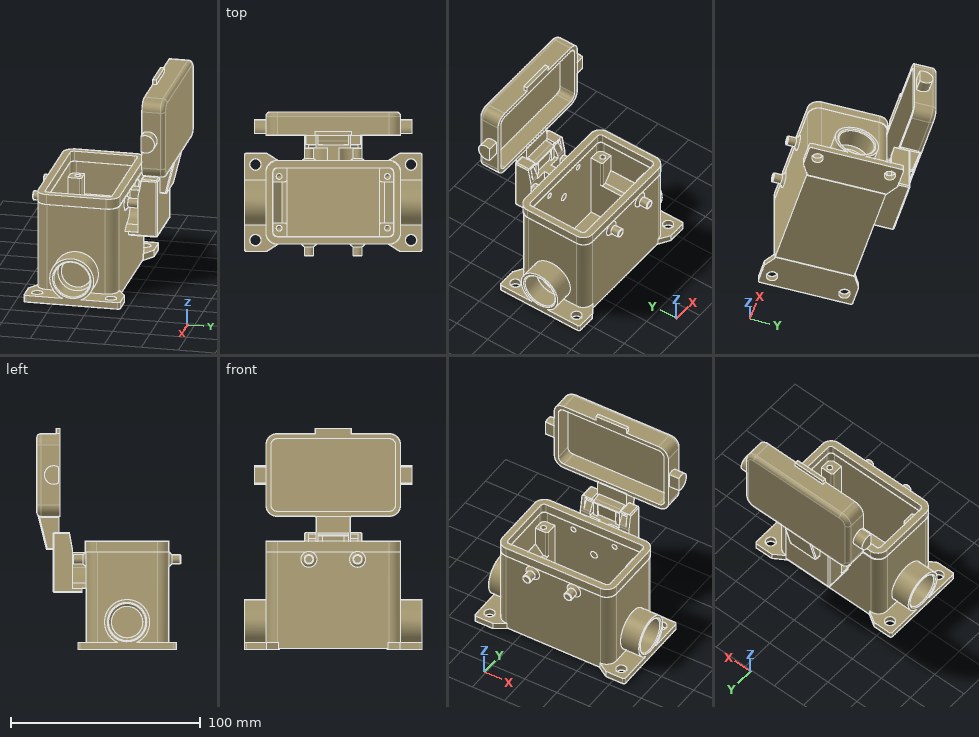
import cadquery as cq


COLLAR_LENGTH = 71.1
COLLAR_WIDTH = 44.2
COLLAR_BOTTOM = 51.5
HOUSING_TOP = 57.1
BODY_BOTTOM = 0.5
BODY_INSET = 0.06
REAR_INSET = 0.5
OUTER_RADIUS = 6.0
CAVITY_LENGTH = 63.6
CAVITY_WIDTH = 36.1
RIM_RADIUS = 1.9
CAVITY_RELIEF = 0.1
CAVITY_RADIUS = 2.9
CAVITY_FLOOR = 3.7

POST_LENGTH = 7.5
POST_WIDTH = 7.2
POST_TOP = 44.9
POST_EDGE_RADIUS = 1.2
SCREW_X = 28.5
SCREW_Y = 13.6
SCREW_DIAMETER = 3.0
SCREW_DEPTH = 14.0
LEDGE_Z = 28.0
LEDGE_DEPTH = 2.7
SLOPE_TOP = 33.5

FLANGE_LENGTH = 93.5
FLANGE_WIDTH = 52.0
FLANGE_THICKNESS = 3.7
FLANGE_SHOULDER_X = 35.2
FLANGE_WAIST_X = 28.4
FLANGE_WAIST_Y = 21.7
FLANGE_CORNER_RADIUS = 1.2
MOUNT_X = 41.0
MOUNT_Y = 19.9
MOUNT_DIAMETER = 5.8

ENTRY_Z = 14.5
ENTRY_RADIUS = 11.9
BORE_RADIUS = 9.8
BORE_CHAMFER = 0.6
BORE_DEPTH = 10.5
BORE_END_RADIUS = 8.3

PEG_X = 12.8
PEG_Z = 47.5
PEG_RADIUS = 2.5
PEG_TIP_Y = 28.3
PEG_TIP_CHAMFER = 0.3
COLLET_RADIUS = 4.2
COLLET_HEIGHT = 1.5

LID_FRONT = 35.3
LID_BACK = 47.6
LID_BOTTOM = 70.1
LID_TOP = 113.8
LID_BACK_RADIUS = 2.3
LID_WALL = 2.7
LID_PANEL = 3.1
LID_INNER_RADIUS = 3.4
TAB_WIDTH = 19.1
TAB_THICKNESS = 2.1
TAB_TOP = 116.5
LID_PIN_SPAN = 83.2
LID_PIN_RADIUS = 4.9
LID_PIN_Y = 38.7
LID_PIN_FLAT_Y = 36.2

ARM_WIDTH = 18.2
ARM_FRONT = 35.9
ARM_TOP_BACK = 47.1
ARM_HEEL_Y = 42.5
ARM_BOTTOM = 52.7
ARM_CHAMFER = 0.6
ARM_OVERLAP = 0.9
ARM_ROOT_HEIGHT = 0.7

BRACKET_WIDTH = 30.3
BRACKET_BACK = 39.1
BRACKET_TOP_FRONT = 30.4
BRACKET_FRONT = 28.7
BRACKET_BOTTOM = 29.9
BRACKET_TOP = 61.7
BRACKET_KNEE_Z = 52.2
BRACKET_CHAMFER = 0.7
FOOT_TOP = 32.2
FOOT_FRONT = 23.6
SIDE_WALL = 2.1
BAY_TOP = 60.8
BAY_BACK = 31.5
BAY_SILL_FRONT_Z = 53.1
BAY_SILL_BACK_Z = 58.5
LEDGE_HEIGHT = 51.1
NOSE_WIDTH = 16.2
NOSE_TOP_BACK_Z = 61.5
NOSE_TOP_FRONT_Y = 32.3
NOSE_TOP_FRONT_Z = 60.8
LIP_FRONT = 30.3
LIP_MIDDLE = 60.3
LIP_BOTTOM = 59.8
HINGE_FACE_Y = 30.5
WINDOW_TOP_Y = 30.8
WINDOW_BOTTOM_Y = 31.7
WINDOW_WIDTH = 11.3

RIB_WIDTH = 5.8
FLARE_START_Z = 43.2
FLARE_RADIUS = 8.3
RIVET_Z = 35.6
RIVET_RADIUS = 2.1
SHANK_RADIUS = 1.5

BODY_REAR = COLLAR_WIDTH / 2 - REAR_INSET
BODY_FRONT = -COLLAR_WIDTH / 2 + BODY_INSET
CAVITY_REAR = CAVITY_WIDTH / 2 + CAVITY_RELIEF
LID_MID_Z = (LID_BOTTOM + LID_TOP) / 2
SIDES = (-1, 1)


def box(x0, x1, y0, y1, z0, z1):
    """Axis-aligned block between two opposite corners."""
    return cq.Workplane("XY").box(x1 - x0, y1 - y0, z1 - z0, centered=False).translate((x0, y0, z0))


def rod_y(x, z, radius, y0, y1):
    """Cylinder along Y."""
    return cq.Workplane("XZ", origin=(x, y0, z)).circle(radius).extrude(y0 - y1)


def side_profile(points, width):
    """Outline in the YZ plane, extruded evenly to both sides of X = 0."""
    return cq.Workplane("YZ").polyline(points).close().extrude(width / 2, both=True)


def housing_shell():
    """Solid outside of the housing: main body and a slightly proud collar."""
    body = box(
        -COLLAR_LENGTH / 2 + BODY_INSET, COLLAR_LENGTH / 2 - BODY_INSET,
        BODY_FRONT, BODY_REAR, BODY_BOTTOM, COLLAR_BOTTOM,
    ).edges("|Z").fillet(OUTER_RADIUS)
    collar = box(
        -COLLAR_LENGTH / 2, COLLAR_LENGTH / 2,
        -COLLAR_WIDTH / 2, COLLAR_WIDTH / 2, COLLAR_BOTTOM, HOUSING_TOP,
    ).edges("|Z").fillet(OUTER_RADIUS)
    return body.union(collar)


def housing_cavity():
    """Inside of the housing: rim opening and the chamber below it."""
    rim = box(
        -CAVITY_LENGTH / 2, CAVITY_LENGTH / 2,
        -CAVITY_WIDTH / 2, CAVITY_WIDTH / 2, COLLAR_BOTTOM, HOUSING_TOP,
    ).edges("|Z").fillet(RIM_RADIUS)
    half_length = CAVITY_LENGTH / 2 + CAVITY_RELIEF
    chamber = box(
        -half_length, half_length, -CAVITY_REAR, CAVITY_REAR, CAVITY_FLOOR, COLLAR_BOTTOM,
    ).edges("|Z").fillet(CAVITY_RADIUS)
    return rim.union(chamber)


def end_block(side):
    """Block across one end of the cavity: a flat ledge, then a slope up to the end wall."""
    wall_x = COLLAR_LENGTH / 2 - OUTER_RADIUS / 2
    cavity_x = CAVITY_LENGTH / 2
    inner_x = cavity_x - POST_LENGTH
    outline = [
        (side * inner_x, BODY_BOTTOM),
        (side * inner_x, LEDGE_Z),
        (side * (inner_x + LEDGE_DEPTH), LEDGE_Z),
        (side * cavity_x, SLOPE_TOP),
        (side * wall_x, SLOPE_TOP),
        (side * wall_x, BODY_BOTTOM),
    ]
    return cq.Workplane("XZ").polyline(outline).close().extrude(CAVITY_REAR, both=True)


def screw_post(side_x, side_y):
    """Square post in a cavity corner, rooted in both walls, with its free edge rounded."""
    length = POST_LENGTH + CAVITY_RELIEF
    width = POST_WIDTH + CAVITY_RELIEF
    post = box(0, length, 0, width, BODY_BOTTOM, POST_TOP)
    post = post.edges("|Z").edges("<X and <Y").fillet(POST_EDGE_RADIUS)
    post = post.translate((CAVITY_LENGTH / 2 - POST_LENGTH, CAVITY_WIDTH / 2 - POST_WIDTH, 0))
    if side_x < 0:
        post = post.mirror("YZ")
    if side_y < 0:
        post = post.mirror("XZ")
    return post


def screw_hole(x, y):
    """Blind hole with a conical drill point."""
    radius = SCREW_DIAMETER / 2
    depth_z = POST_TOP - SCREW_DEPTH
    outline = [(0, POST_TOP), (radius, POST_TOP), (radius, depth_z), (0, depth_z - radius)]
    hole = cq.Workplane("XZ").polyline(outline).close().revolve(360, (0, 0, 0), (0, 1, 0))
    return hole.translate((x, y, 0))


def flange(side):
    """Foot plate at one end, tapering towards the long walls, with two screw holes."""
    half_width = FLANGE_WIDTH / 2
    outline = [
        (side * FLANGE_WAIST_X, -FLANGE_WAIST_Y),
        (side * FLANGE_SHOULDER_X, -half_width),
        (side * FLANGE_LENGTH / 2, -half_width),
        (side * FLANGE_LENGTH / 2, half_width),
        (side * FLANGE_SHOULDER_X, half_width),
        (side * FLANGE_WAIST_X, FLANGE_WAIST_Y),
    ]
    plate = cq.Workplane("XY").polyline(outline).close().extrude(FLANGE_THICKNESS)
    plate = plate.edges("|Z").edges(">X" if side > 0 else "<X").fillet(FLANGE_CORNER_RADIUS)
    holes = (
        cq.Workplane("XY")
        .pushPoints([(side * MOUNT_X, sy * MOUNT_Y) for sy in SIDES])
        .circle(MOUNT_DIAMETER / 2).extrude(FLANGE_THICKNESS)
    )
    return plate.cut(holes)


def turned_along_x(profile, side):
    """Turn an (x, radius) outline about the cable entry axis."""
    points = [(side * x, -radius) for x, radius in profile]
    outline = cq.Workplane("XY", origin=(0, 0, ENTRY_Z)).polyline(points).close()
    return outline.revolve(360, (0, 0, 0), (1, 0, 0))


def cable_entry(side):
    """Solid sleeve for the cable on one end wall."""
    inner_x = COLLAR_LENGTH / 2 - OUTER_RADIUS / 2
    outer_x = FLANGE_LENGTH / 2
    return turned_along_x(
        [(inner_x, 0), (inner_x, ENTRY_RADIUS), (outer_x, ENTRY_RADIUS), (outer_x, 0)],
        side,
    )


def cable_bore(side):
    """Blind bore with a chamfered mouth and a conical bottom."""
    mouth_x = FLANGE_LENGTH / 2
    cone_x = mouth_x - BORE_DEPTH
    end_x = cone_x - (BORE_RADIUS - BORE_END_RADIUS)
    return turned_along_x(
        [
            (mouth_x, 0),
            (mouth_x, BORE_RADIUS + BORE_CHAMFER),
            (mouth_x - BORE_CHAMFER, BORE_RADIUS),
            (cone_x, BORE_RADIUS),
            (end_x, BORE_END_RADIUS),
            (end_x, 0),
        ],
        side,
    )


def collet(x, side_y, wall_y):
    """Conical base around a peg, standing on the wall."""
    root = cq.Workplane("XZ", origin=(x, side_y * wall_y, PEG_Z)).circle(COLLET_RADIUS)
    return root.workplane(offset=-side_y * COLLET_HEIGHT).circle(PEG_RADIUS).loft()


def front_peg(x):
    """Locking peg with its collet on the front wall."""
    peg = rod_y(x, PEG_Z, PEG_RADIUS, -PEG_TIP_Y, BODY_FRONT)
    peg = peg.faces("<Y").chamfer(PEG_TIP_CHAMFER)
    return peg.union(collet(x, -1, -BODY_FRONT))


def make_housing():
    housing = housing_shell().cut(housing_cavity())
    for side in SIDES:
        housing = housing.union(end_block(side)).union(flange(side)).union(cable_entry(side))
        for side_y in SIDES:
            housing = housing.union(screw_post(side, side_y))
        housing = housing.union(front_peg(side * PEG_X))
        housing = housing.union(collet(side * PEG_X, 1, BODY_REAR))
    for side in SIDES:
        housing = housing.cut(cable_bore(side))
        for side_y in SIDES:
            housing = housing.cut(screw_hole(side * SCREW_X, side_y * SCREW_Y))
    return housing.cut(rear_pins())


def lid():
    """Hollow lid, opening forward, with a finger tab and a flatted pin at each end."""
    half = COLLAR_LENGTH / 2
    shell = box(-half, half, LID_FRONT, LID_BACK, LID_BOTTOM, LID_TOP).edges("|Y").fillet(OUTER_RADIUS)
    shell = shell.faces(">Y").edges().fillet(LID_BACK_RADIUS)
    hollow = box(
        -half + LID_WALL, half - LID_WALL,
        LID_FRONT, LID_BACK - LID_PANEL, LID_BOTTOM + LID_WALL, LID_TOP - LID_WALL,
    ).edges("|Y").fillet(LID_INNER_RADIUS)
    tab = box(
        -TAB_WIDTH / 2, TAB_WIDTH / 2,
        LID_FRONT, LID_FRONT + TAB_THICKNESS, LID_TOP - LID_WALL, TAB_TOP,
    )
    pin = cq.Workplane("YZ").center(LID_PIN_Y, LID_MID_Z).circle(LID_PIN_RADIUS)
    pin = pin.extrude(LID_PIN_SPAN / 2, both=True)
    flat = box(-LID_PIN_SPAN, LID_PIN_SPAN, LID_FRONT - LID_PIN_RADIUS, LID_PIN_FLAT_Y, LID_BOTTOM, LID_TOP)
    return shell.union(pin.cut(flat)).union(tab).cut(hollow)


def arm():
    """Tapered arm that joins the lid to the bracket."""
    outline = [
        (ARM_FRONT, LID_BOTTOM + ARM_OVERLAP),
        (ARM_TOP_BACK, LID_BOTTOM + ARM_OVERLAP),
        (ARM_HEEL_Y, ARM_BOTTOM),
        (ARM_FRONT, ARM_BOTTOM),
    ]
    return side_profile(outline, ARM_WIDTH).faces("|X").edges(">Y or <Z").chamfer(ARM_CHAMFER)


def arm_root():
    """Small flare on both sides of the arm where it meets the lid."""
    half = ARM_WIDTH / 2
    outline = [
        (-half, LID_BOTTOM - ARM_ROOT_HEIGHT),
        (half, LID_BOTTOM - ARM_ROOT_HEIGHT),
        (TAB_WIDTH / 2, LID_BOTTOM),
        (-TAB_WIDTH / 2, LID_BOTTOM),
    ]
    plane = cq.Workplane("XZ", origin=(0, ARM_FRONT, 0))
    return plane.polyline(outline).close().extrude(ARM_FRONT - (LID_BACK - LID_BACK_RADIUS))


def bracket_block():
    """Solid bracket with a forward foot at its bottom."""
    outline = [
        (BRACKET_BACK, BRACKET_BOTTOM),
        (BRACKET_BACK, BRACKET_TOP),
        (BRACKET_TOP_FRONT, BRACKET_TOP),
        (BRACKET_FRONT, BRACKET_KNEE_Z),
        (BRACKET_FRONT, FOOT_TOP),
        (FOOT_FRONT, FOOT_TOP),
        (FOOT_FRONT, BRACKET_BOTTOM),
    ]
    block = side_profile(outline, BRACKET_WIDTH)
    block = block.edges(">Y").chamfer(BRACKET_CHAMFER)
    return block.faces(">Z or <Z").edges("|Y").chamfer(BRACKET_CHAMFER)


def side_bay(side):
    """Recess between the arm and a bracket side wall, with a sill that rises to the rear."""
    outline = [
        (FOOT_FRONT, BAY_TOP),
        (BAY_BACK, BAY_TOP),
        (BAY_BACK, BAY_SILL_BACK_Z),
        (BRACKET_FRONT, BAY_SILL_FRONT_Z),
        (FOOT_FRONT, BAY_SILL_FRONT_Z),
    ]
    inner_x = ARM_WIDTH / 2
    outer_x = BRACKET_WIDTH / 2 - SIDE_WALL
    plane = cq.Workplane("YZ", origin=(side * inner_x, 0, 0))
    return plane.polyline(outline).close().extrude(side * (outer_x - inner_x))


def hinge_pocket():
    """Slot in front of the arm, down to the ledge that carries the hinge nose."""
    half = ARM_WIDTH / 2
    return box(-half, half, FOOT_FRONT, ARM_FRONT, LEDGE_HEIGHT, BRACKET_TOP)


def hinge_nose():
    """Hinge body standing in the slot: sloping top, overhanging lip and a sunk window."""
    outline = [
        (ARM_FRONT, LEDGE_HEIGHT),
        (ARM_FRONT, NOSE_TOP_BACK_Z),
        (NOSE_TOP_FRONT_Y, NOSE_TOP_FRONT_Z),
        (LIP_FRONT, LIP_MIDDLE),
        (LIP_FRONT, LIP_BOTTOM),
        (HINGE_FACE_Y, LIP_BOTTOM),
        (HINGE_FACE_Y, LEDGE_HEIGHT),
    ]
    window = [
        (FOOT_FRONT, LEDGE_HEIGHT),
        (WINDOW_BOTTOM_Y, LEDGE_HEIGHT),
        (WINDOW_TOP_Y, LIP_BOTTOM),
        (FOOT_FRONT, LIP_BOTTOM),
    ]
    return side_profile(outline, NOSE_WIDTH).cut(side_profile(window, WINDOW_WIDTH))


def flared_rib():
    """Upright rib that flares into a wide base, filling the gap from bracket to rear wall."""
    half_rib = RIB_WIDTH / 2
    half_base = BRACKET_WIDTH / 2
    end_x = half_rib + FLARE_RADIUS
    end_z = FLARE_START_Z - FLARE_RADIUS
    outline = (
        cq.Workplane("XZ", origin=(0, BRACKET_FRONT, 0))
        .moveTo(-half_rib, LEDGE_HEIGHT)
        .lineTo(half_rib, LEDGE_HEIGHT)
        .lineTo(half_rib, FLARE_START_Z)
        .radiusArc((end_x, end_z), -FLARE_RADIUS)
        .lineTo(half_base, FOOT_TOP)
        .lineTo(-half_base, FOOT_TOP)
        .lineTo(-end_x, end_z)
        .radiusArc((-half_rib, FLARE_START_Z), -FLARE_RADIUS)
        .close()
    )
    return outline.extrude(BRACKET_FRONT - BODY_REAR)


def rear_pins():
    """Two stepped pegs and a rivet that reach through the rear wall, flush with its inside."""
    pins = rod_y(0, RIVET_Z, RIVET_RADIUS, CAVITY_REAR, BRACKET_FRONT)
    for side in SIDES:
        x = side * PEG_X
        peg = rod_y(x, PEG_Z, PEG_RADIUS, BODY_REAR + COLLET_HEIGHT, BRACKET_FRONT)
        peg = peg.faces(">Y").chamfer(PEG_TIP_CHAMFER)
        pins = pins.union(peg).union(rod_y(x, PEG_Z, SHANK_RADIUS, CAVITY_REAR, BRACKET_FRONT))
    return pins


def make_cover():
    bracket = bracket_block().union(arm()).cut(hinge_pocket()).union(hinge_nose())
    for side in SIDES:
        bracket = bracket.cut(side_bay(side))
    hinge = bracket.union(flared_rib()).union(rear_pins())
    return hinge.union(arm_root()).union(lid())


housing = make_housing()
cover = make_cover()
result = cq.Compound.makeCompound([housing.val(), cover.val()])